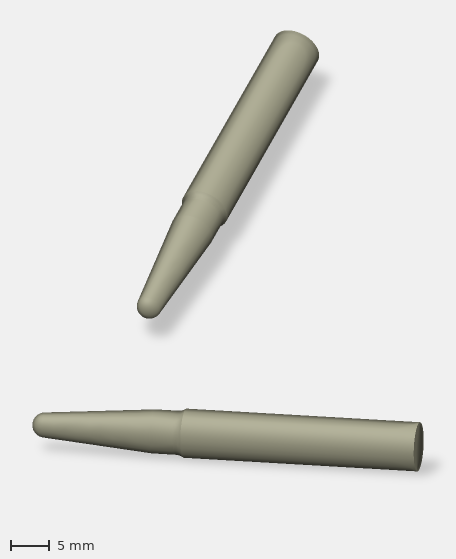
import cadquery as cq
import math

total_length = 50.8
handle_radius = 3.175
neck_radius = 2.85
shoulder_arc_radius = 2.0
neck_length = 3.05

tip_length = 15.95
tip_land_length = 0.1
nose_radius = 1.65

point_y = -total_length / 2
back_y = total_length / 2
joint_y = point_y + tip_length
neck_end_y = joint_y + neck_length


def turn(profile):
    """Revolve a closed half profile around the Y axis."""
    return profile.close().revolve(360, (0, 0, 0), (0, 1, 0))


def make_handle():
    """Long shank with a concave shoulder that runs tangent into the neck."""
    rise = handle_radius - neck_radius
    sweep = math.acos(1 - rise / shoulder_arc_radius)

    def shoulder_point(angle):
        radius = neck_radius + shoulder_arc_radius * (1 - math.cos(angle))
        return radius, neck_end_y + shoulder_arc_radius * math.sin(angle)

    profile = (
        cq.Workplane("XY")
        .moveTo(0, joint_y)
        .lineTo(neck_radius, joint_y)
        .lineTo(neck_radius, neck_end_y)
        .threePointArc(shoulder_point(sweep / 2), shoulder_point(sweep))
        .lineTo(handle_radius, back_y)
        .lineTo(0, back_y)
    )
    return turn(profile)


def make_tip():
    """Tapered tip with a spherical nose tangent to the taper."""
    nose_center_y = point_y + nose_radius
    taper_start_y = joint_y - tip_land_length

    taper_run = taper_start_y - nose_center_y
    rim_distance = math.hypot(neck_radius, taper_run)
    tangent_angle = math.atan2(taper_run, neck_radius) - math.acos(nose_radius / rim_distance)

    def nose_point(angle):
        return nose_radius * math.cos(angle), nose_center_y + nose_radius * math.sin(angle)

    middle_angle = (tangent_angle - math.pi / 2) / 2
    profile = (
        cq.Workplane("XY")
        .moveTo(0, joint_y)
        .lineTo(neck_radius, joint_y)
        .lineTo(neck_radius, taper_start_y)
        .lineTo(*nose_point(tangent_angle))
        .threePointArc(nose_point(middle_angle), (0, point_y))
    )
    return turn(profile)


handle = make_handle()
tip = make_tip()
result = cq.Compound.makeCompound([handle.val(), tip.val()])